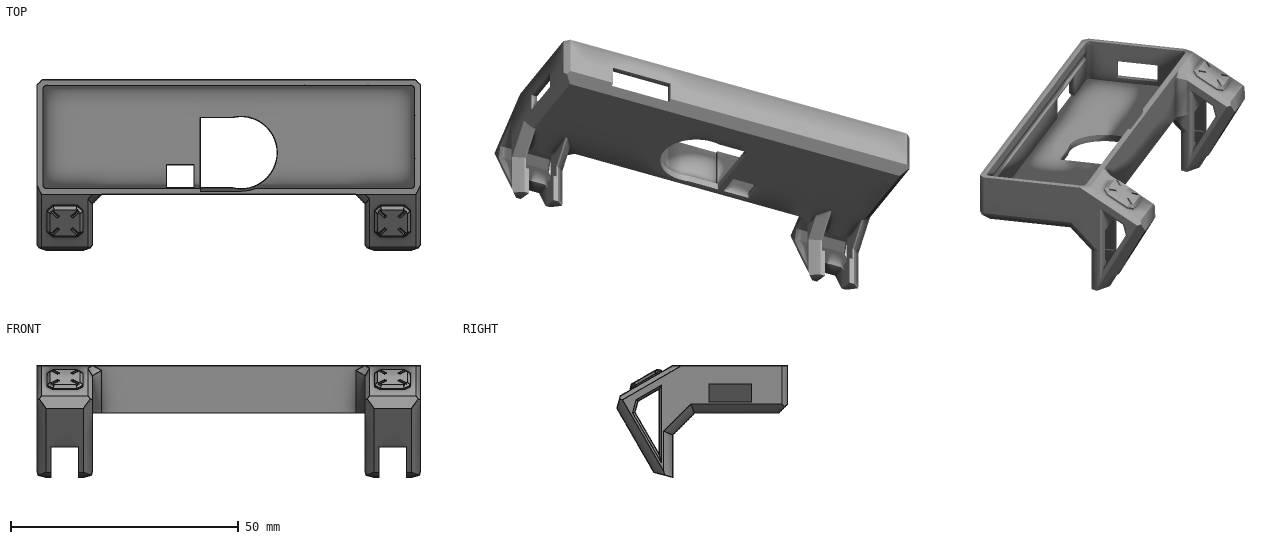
import cadquery as cq
import math


tray_length = 84.5
tray_depth = 25.3
tray_height = 10.5
wall = 1.3
floor_thickness = 1.5
inner_corner_radius = 0.9
back_corner_chamfer = 1.2
body_chamfer = 2.0

back_window_left = 16.7
back_window_width = 14.0
back_window_height = 4.6
side_port_width = 9.4
side_port_height = 3.9
side_port_sill = 1.0

square_hole_left = -13.7
square_hole_front = 1.5
square_hole_width = 6.0
square_hole_depth = 5.0
round_hole_left = -6.25
round_hole_x = 2.7
round_hole_y = 9.2
round_hole_radius = 7.95
round_hole_straight_width = 15.4
recess_radius = 8.5

groove_bottom = 6.5
groove_top = 8.4
groove_depth = 0.6

leg_width = 12.25
slope_angle = 30
slope_length = 15.37
tip_drop = 14.14
brace_size = 4.8
slope_chamfer = 1.0
gusset_size = 2.0
gusset_chamfer = (1.0, 1.5)
leg_slot_width = 6.0
leg_back_window_width = 7.4
leg_slot_depth = 18.0
leg_wall = 3.0
leg_window_bevel = 1.8
leg_window_flare = 0.5
flare_angle = 45

pad_spacing = 72.1
pad_size = 7.9
pad_height = 1.0
pad_corner = 1.3
pad_edge_chamfer = 0.65
pad_slot_count = 4
pad_slot_start_angle = 45
pad_slot_length = 2.0
pad_slot_width = 0.6
pad_slot_radius = 3.1

half_length = tray_length / 2
leg_inner = half_length - leg_width
leg_center = half_length - leg_width / 2
sin_slope = math.sin(math.radians(slope_angle))
cos_slope = math.cos(math.radians(slope_angle))
tan_tip = math.tan(math.radians(slope_angle / 2))
slope_normal = cq.Vector(0, -sin_slope, cos_slope)
front_normal = cq.Vector(0, -cos_slope, -sin_slope)
far = 2 * tray_length


def on_slope(along, below=0):
    """(y, z) of the point this far down the slope and this far beneath its surface."""
    y = -along * cos_slope + below * sin_slope
    z = tray_height - along * sin_slope - below * cos_slope
    return (y, z)


def box(x_range, y_range, z_range):
    """Box spanning a (low, high) pair along each axis."""
    lows, highs = zip(x_range, y_range, z_range)
    size = [high - low for low, high in zip(lows, highs)]
    return cq.Workplane("XY").box(*size, centered=False).translate(lows)


def centered_range(middle, size):
    return (middle - size / 2, middle + size / 2)


def cylinder(x, y, radius, z_range):
    low, high = z_range
    return cq.Workplane("XY", origin=(x, y, low)).circle(radius).extrude(high - low)


def prism_along_x(points, x_low, x_high):
    """Prism with the given (y, z) outline."""
    return cq.Workplane("YZ", origin=(x_low, 0, 0)).polyline(points).close().extrude(x_high - x_low)


def mirrored_pair(body):
    return body.union(body.mirror("YZ"))


def make_tray_block():
    block = box((-half_length, half_length), (0, tray_depth), (0, tray_height))
    block = block.edges("<Z and (>Y or >X or <X)").chamfer(body_chamfer)
    block = block.edges("|Z and >Y").chamfer(back_corner_chamfer)
    for side in (-1, 1):
        block = block.cut(slope_bevel(side * half_length, side))
    return block


def make_leg_profile():
    """Outline of a leg seen along X, running back as far as the bevelled brace needs."""
    corner_y, corner_z = on_slope(slope_length)
    front_length = (corner_z + tip_drop + corner_y * tan_tip) / (cos_slope - sin_slope * tan_tip)
    return [
        (2 * brace_size, tray_height),
        (0, tray_height),
        on_slope(slope_length - body_chamfer),
        on_slope(slope_length, body_chamfer),
        on_slope(slope_length, front_length),
        (0, -tip_drop),
        (0, -brace_size),
        (brace_size, 0),
        (2 * brace_size, 0),
    ]


def edge_bevel(x, outward, edge_point, normal, size):
    """Cutter that bevels the side edge, at this x, of the leg face with this normal."""
    x_out = cq.Vector(outward, 0, 0)
    plane = cq.Plane((x, *edge_point), x_out, x_out.cross(normal))
    triangle = [(size, size), (-2 * size, size), (size, -2 * size)]
    return cq.Workplane(plane).polyline(triangle).close().extrude(far, both=True)


def slope_bevel(x, outward):
    return edge_bevel(x, outward, on_slope(0), slope_normal, slope_chamfer)


def front_bevel(x, outward):
    return edge_bevel(x, outward, on_slope(slope_length), front_normal, body_chamfer)


def make_leg_block():
    leg = prism_along_x(make_leg_profile(), leg_inner, half_length)
    for x in (leg_inner, half_length):
        back_edges = cq.selectors.BoxSelector(
            (x - wall, -wall, -tip_drop), (x + wall, far, wall), boundingbox=False
        )
        leg = leg.edges(back_edges).edges("#X").chamfer(body_chamfer)
    for x, outward in ((leg_inner, -1), (half_length, 1)):
        leg = leg.cut(slope_bevel(x, outward)).cut(front_bevel(x, outward))
    return leg


def make_gusset():
    """Corner filler between the leg's inner side and the front wall, topped by the slope."""
    tip_x = leg_inner - gusset_size
    buried_x = leg_inner + gusset_size
    plan = [(tip_x, 0), (buried_x, 0), (buried_x, tip_x - buried_x)]
    gusset = cq.Workplane("XY").polyline(plan).close().extrude(tray_height)
    above_slope = [(0, tray_height), on_slope(slope_length), (-far, far), (0, far)]
    gusset = gusset.cut(prism_along_x(above_slope, 0, far))
    diagonal_face = cq.selectors.DirectionMinMaxSelector(cq.Vector(-1, -1, 0))
    slanted_edge = "not (|Z or <Z)"
    return gusset.faces(diagonal_face).edges(slanted_edge).chamfer(*gusset_chamfer)


def make_leg_opening():
    """Flared window across the leg, the slot between its toes and the window in its back."""
    top_along = leg_wall * (1 + sin_slope) / cos_slope
    front_along = slope_length - leg_wall
    bottom_below = (front_along * cos_slope - leg_wall) / sin_slope
    outline = [
        on_slope(top_along, leg_wall),
        on_slope(front_along - leg_window_bevel, leg_wall),
        on_slope(front_along, leg_wall + leg_window_bevel),
        on_slope(front_along, bottom_below),
    ]
    opening = prism_along_x(outline, leg_inner, half_length)
    for x, inward in ((leg_inner, 1), (half_length, -1)):
        mouth = cq.Workplane("YZ", origin=(x, 0, 0)).polyline(outline).close()
        mouth = mouth.offset2D(leg_window_flare, "intersection")
        opening = opening.union(mouth.extrude(inward * leg_window_flare, taper=flare_angle))
    slot_top = tray_height - leg_slot_depth
    slot = box(centered_range(leg_center, leg_slot_width), (-far, far), (-far, slot_top))
    back_window_x = centered_range(leg_center, leg_back_window_width)
    back_window = box(back_window_x, (-leg_wall, brace_size), (slot_top, 0))
    return opening.union(slot).union(back_window)


def make_pad():
    middle = on_slope((slope_length - body_chamfer) / 2)
    plane = cq.Plane((pad_spacing / 2, *middle), (1, 0, 0), slope_normal)
    pad = cq.Workplane(plane).rect(pad_size, pad_size).extrude(pad_height)
    pad = pad.edges(cq.selectors.ParallelDirSelector(slope_normal)).chamfer(pad_corner)
    pad = pad.faces(cq.selectors.DirectionMinMaxSelector(slope_normal)).chamfer(pad_edge_chamfer)
    slots = (
        cq.Workplane(plane)
        .polarArray(pad_slot_radius, pad_slot_start_angle, 360, pad_slot_count)
        .rect(pad_slot_length, pad_slot_width)
        .extrude(pad_height)
    )
    return pad.cut(slots)


def make_tray_cavity():
    cavity = box(
        (wall - half_length, half_length - wall),
        (wall, tray_depth - wall),
        (floor_thickness, tray_height),
    )
    cavity = cavity.edges("|Z").fillet(inner_corner_radius)
    groove_mouth = tray_depth - wall
    groove_outline = [
        (groove_mouth, groove_bottom),
        (groove_mouth + groove_depth, groove_bottom + groove_depth),
        (groove_mouth + groove_depth, groove_top - groove_depth),
        (groove_mouth, groove_top),
        (tray_depth / 2, groove_top),
        (tray_depth / 2, groove_bottom),
    ]
    groove_reach = half_length - wall - inner_corner_radius
    groove = prism_along_x(groove_outline, -groove_reach, groove_reach)
    return cavity.union(groove)


def make_wall_openings():
    back_window = box(
        (back_window_left, back_window_left + back_window_width),
        (tray_depth / 2, far),
        (floor_thickness, floor_thickness + back_window_height),
    )
    port_bottom = floor_thickness + side_port_sill
    side_port = box(
        (leg_center, far),
        centered_range(tray_depth / 2, side_port_width),
        (port_bottom, port_bottom + side_port_height),
    )
    return back_window.union(side_port)


def make_floor_openings():
    through_floor = (0, floor_thickness)
    square_hole = box(
        (square_hole_left, square_hole_left + square_hole_width),
        (square_hole_front, square_hole_front + square_hole_depth),
        through_floor,
    )
    straight_part = box(
        (round_hole_left, round_hole_x),
        centered_range(round_hole_y, round_hole_straight_width),
        through_floor,
    )
    round_part = cylinder(round_hole_x, round_hole_y, round_hole_radius, through_floor)
    return square_hole.union(straight_part).union(round_part)


def make_front_wall_recess():
    """Clearance into the front wall, above the floor, around the round hole's outline."""
    above_floor = (floor_thickness, tray_height)
    straight_part = box(
        (round_hole_left, round_hole_x),
        centered_range(round_hole_y, 2 * recess_radius),
        above_floor,
    )
    return straight_part.union(cylinder(round_hole_x, round_hole_y, recess_radius, above_floor))


leg = make_leg_block().union(make_gusset()).cut(make_leg_opening()).union(make_pad())
result = make_tray_block().union(mirrored_pair(leg))
result = result.cut(make_tray_cavity()).cut(make_front_wall_recess())
result = result.cut(make_wall_openings()).cut(make_floor_openings())